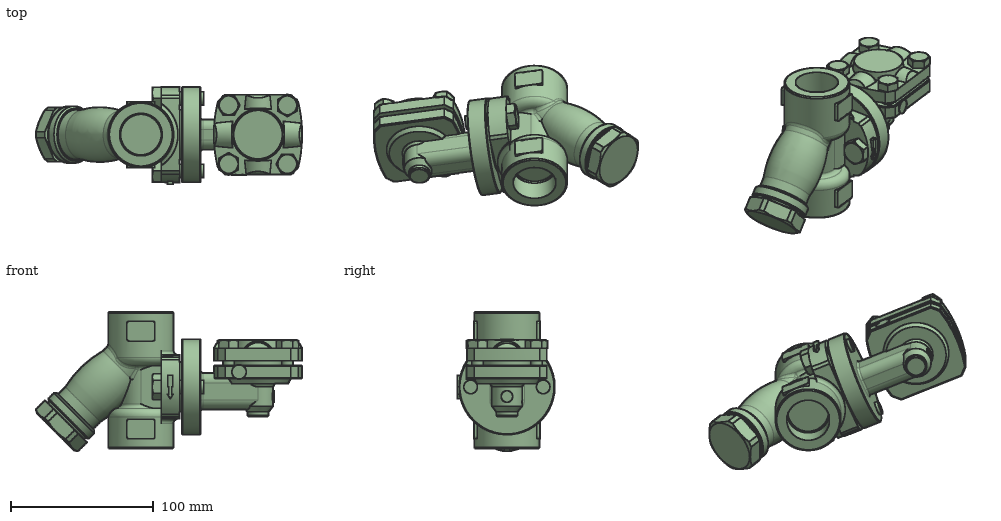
import cadquery as cq
import math


socket_radius = 23.0
socket_top = 52.7
socket_bottom = -43.1
socket_edge_chamfer = 1.0
shoulder_height = 20.7
shoulder_radius = 5.8
neck_fillet = 3.0
neck_radius = socket_radius - shoulder_radius - neck_fillet
bore_radius = 15.0
bore_depth = 15.3
bore_floor_radius = 14.2
bore_cone_depth = 1.1
pad_width = 19.6
pad_height = 13.8
pad_thickness = 3.7
pad_corner_radius = 1.5
pad_face = 23.2
pad_top_gap = 6.7

arm_start_height = 28.4
arm_angle = 45
arm_root_radius = 16.6
arm_fillet = 3.0
arm_bulge_at = 42.0
arm_bulge_radius = 19.2
arm_taper_at = 57.5
arm_taper_radius = 17.4
collar_start = 64.6
collar_end = 72.3
collar_radius = 20.0
collar_chamfer = 1.5
cap_start = 74.2
cap_end = 84.6
cap_flats = 38.1
cap_corner_flats = 41.7
cap_face_radius = 18.5
head_edge_angle = 30
gasket_radius = 36.0 / 2

lug_start = 14.2
lug_end = 27.0
flange_start = 28.8
flange_end = 41.8
flange_radius = 67.0 / 2
flange_chamfer = 0.5
lug_half_height = 22.5
lug_arch_width = 25.4
lug_arch_height = 20.7
lug_side_height = 19.0
lug_side_width = math.sqrt(flange_radius**2 - lug_side_height**2)
lug_fillet = 3.0
raised_face_radius = 35.0 / 2
flange_bolt_radius = 9.5 / 2
flange_bolt_offset = 25.4
flange_bolt_end = 44.0
flange_head_start = 7.8
flange_head_corners = 18.3

arrow_x = 20.5
arrow_top = 8.0
arrow_tip = -8.4
arrow_relief = 1.3

trap_x = 82.0
plate_half_depth = 28.0
plate_half_width = 31.0
plate_corner_near = 23.0
plate_corner_far = 28.2
base_bottom = 5.6
base_top = 15.3
cover_bottom = 18.3
cover_top = 27.0
plate_edge_chamfer = 0.7
trap_top = 32.9
crown_radius = 34.0 / 2
crown_foot_radius = 18.0
rib_radius = 11.2
rib_inner_top = 32.1
rib_outer_top = 30.3
rib_end_slope = 30
spacer_radius = 33.0 / 2
trap_bolt_radius = 8.0 / 2
trap_bolt_offset = 20.5
trap_head_flats = 13.6
head_face_ratio = 0.97
bowl_bottom = 2.2
bowl_top_radius = 23.0
bowl_bottom_radius = 21.1

boss_radius = 10.6
boss_flare = 1.3
boss_flare_bottom = 0
boss_bottom = -13.5
plug_top = -17.5
plug_bottom = -21.0
plug_radius = 7.5
plug_chamfer = 1.0
side_plug_radius = 8.0 / 2
side_plug_height = -6.7
side_plug_relief = 0.5
duct_top = 9.9
duct_bottom = -15.9
duct_half_depth = boss_radius
duct_corner_radius = 7.0
duct_flare = 1.5
name_disc_radius = 10.0 / 2
name_disc_x = trap_x - 13.3
name_disc_relief = 0.5


def turned(outline):
    """Solid of revolution about Z from (radius, height) points."""
    return cq.Workplane("XZ").polyline(outline).close().revolve(360, (0, 0, 0), (0, 1, 0))


def disc_x(radius, x_start, x_end, y=0, z=0):
    """Cylinder along X."""
    return cq.Workplane("YZ", origin=(x_start, y, z)).circle(radius).extrude(x_end - x_start)


def disc_z(radius, z_start, z_end, x=0, y=0):
    """Cylinder along Z."""
    return cq.Workplane("XY", origin=(x, y, z_start)).circle(radius).extrude(z_end - z_start)


def hexagon(flats, height, turn=0):
    """Hexagonal prism on the XY plane; its corners lie on X unless turned."""
    prism = cq.Workplane("XY").polygon(6, flats / math.cos(math.pi / 6)).extrude(height)
    return prism.rotate((0, 0, 0), (0, 0, 1), turn)


def chamfered_top(height, face_radius, slope_angle):
    """Envelope that cuts the corners of a hexagon of this height down to a round face."""
    widening = height / math.tan(math.radians(slope_angle))
    return turned([(0, 0), (face_radius + widening, 0), (face_radius, height), (0, height)])


def bolt_head(flats, height, turn):
    """Hexagonal head standing on the XY plane with a chamfered upper face."""
    face_radius = head_face_ratio * flats / 2
    return hexagon(flats, height, turn).intersect(chamfered_top(height, face_radius, head_edge_angle))


def pipe_column():
    """Two sockets joined by a narrower neck, with rounded shoulders and neck fillets."""
    edge = socket_radius - socket_edge_chamfer
    diagonal = math.sin(math.pi / 4)
    ledge_height = shoulder_height - shoulder_radius
    ledge_radius = socket_radius - shoulder_radius
    shoulder_mid = (ledge_radius + shoulder_radius * diagonal, shoulder_height - shoulder_radius * diagonal)
    fillet_mid = (ledge_radius - neck_fillet * diagonal, ledge_height - neck_fillet * (1 - diagonal))
    neck_end = ledge_height - neck_fillet
    outline = (
        cq.Workplane("XZ")
        .moveTo(0, socket_bottom)
        .lineTo(edge, socket_bottom)
        .lineTo(socket_radius, socket_bottom + socket_edge_chamfer)
        .lineTo(socket_radius, -shoulder_height)
        .threePointArc((shoulder_mid[0], -shoulder_mid[1]), (ledge_radius, -ledge_height))
        .threePointArc((fillet_mid[0], -fillet_mid[1]), (neck_radius, -neck_end))
        .lineTo(neck_radius, neck_end)
        .threePointArc(fillet_mid, (ledge_radius, ledge_height))
        .threePointArc(shoulder_mid, (socket_radius, shoulder_height))
        .lineTo(socket_radius, socket_top - socket_edge_chamfer)
        .lineTo(edge, socket_top)
        .lineTo(0, socket_top)
        .close()
    )
    return outline.revolve(360, (0, 0, 0), (0, 1, 0))


def socket_bores():
    """Blind bores with a short conical floor, one in each socket end."""
    bore = turned([
        (0, 0),
        (bore_radius, 0),
        (bore_radius, -bore_depth),
        (bore_floor_radius, -bore_depth - bore_cone_depth),
        (0, -bore_depth - bore_cone_depth),
    ])
    upper = bore.translate((0, 0, socket_top))
    lower = bore.mirror("XY").translate((0, 0, socket_bottom))
    return upper.union(lower)


def socket_pads(body):
    """Flat rectangular pads on both sides of each socket."""
    half_height = pad_height / 2
    heights = (socket_top - pad_top_gap - half_height, socket_bottom + pad_top_gap + half_height)
    for z in heights:
        for side in (-1, 1):
            pad = (
                cq.Workplane("XY")
                .box(pad_width, pad_thickness, pad_height)
                .edges("|Y")
                .fillet(pad_corner_radius)
                .translate((0, side * (pad_face - pad_thickness / 2), z))
            )
            body = body.union(pad)
    return body


def strainer_arm():
    """Bulged arm with its end collar, hexagonal cap and gasket, turned onto its slope."""
    arm = (
        cq.Workplane("XZ")
        .moveTo(0, 0)
        .lineTo(arm_root_radius, 0)
        .lineTo(arm_root_radius, arm_bulge_at / 2)
        .threePointArc((arm_bulge_radius, arm_bulge_at), (arm_taper_radius, arm_taper_at))
        .lineTo(arm_taper_radius, collar_start)
        .lineTo(collar_radius - collar_chamfer, collar_start)
        .lineTo(collar_radius, collar_start + collar_chamfer)
        .lineTo(collar_radius, collar_end - collar_chamfer / 2)
        .lineTo(collar_radius - collar_chamfer / 2, collar_end)
        .lineTo(gasket_radius, collar_end)
        .lineTo(gasket_radius, cap_start)
        .lineTo(0, cap_start)
        .close()
        .revolve(360, (0, 0, 0), (0, 1, 0))
    )
    cap_height = cap_end - cap_start
    cap = (
        hexagon(cap_flats, cap_height)
        .intersect(hexagon(cap_corner_flats, cap_height, 30))
        .intersect(chamfered_top(cap_height, cap_face_radius, head_edge_angle))
    )
    arm = arm.union(cap.translate((0, 0, cap_start)))
    return arm.rotate((0, 0, 0), (0, 1, 0), 180 + arm_angle).translate((0, 0, arm_start_height))


def lug():
    """Mounting flange with round sides and arched edges, bridged to the neck."""
    outline = (
        cq.Workplane("YZ", origin=(lug_start, 0, 0))
        .moveTo(-lug_side_width, -lug_side_height)
        .lineTo(-lug_arch_width, -lug_arch_height)
        .threePointArc((0, -lug_half_height), (lug_arch_width, -lug_arch_height))
        .lineTo(lug_side_width, -lug_side_height)
        .threePointArc((flange_radius, 0), (lug_side_width, lug_side_height))
        .lineTo(lug_arch_width, lug_arch_height)
        .threePointArc((0, lug_half_height), (-lug_arch_width, lug_arch_height))
        .lineTo(-lug_side_width, lug_side_height)
        .threePointArc((-flange_radius, 0), (-lug_side_width, -lug_side_height))
        .close()
    )
    bridge_height = 2 * (shoulder_height - shoulder_radius)
    bridge = cq.Workplane("XY").box(lug_end, 2 * neck_radius, bridge_height).translate((lug_end / 2, 0, 0))
    return outline.extrude(lug_end - lug_start).union(bridge)


def lug_blends():
    """Concave rings that blend the sockets into the arched edges of the lug."""
    ring_radius = socket_radius + lug_fillet
    middle = lug_fillet * (1 - math.sin(math.pi / 4))
    ring = (
        cq.Workplane("XZ")
        .moveTo(neck_radius, lug_side_height - lug_half_height)
        .lineTo(ring_radius, lug_side_height - lug_half_height)
        .lineTo(ring_radius, 0)
        .threePointArc((socket_radius + middle, middle), (socket_radius, lug_fillet))
        .lineTo(neck_radius, lug_fillet)
        .close()
        .revolve(360, (0, 0, 0), (0, 1, 0))
        .translate((0, 0, lug_half_height))
    )
    ring = ring.union(ring.mirror("XY"))
    limit = cq.Workplane("XY").box(
        lug_end - lug_start, 2 * flange_radius, 2 * socket_top
    ).translate(((lug_start + lug_end) / 2, 0, 0))
    return ring.intersect(limit)


def flow_arrow():
    """Raised arrow pointing down on the side of the lug."""
    shaft = 1.0
    tail = 1.9
    barb = 2.0
    tail_bottom = 0
    head_top = -5.0
    half = [(tail, arrow_top), (tail, tail_bottom), (shaft, tail_bottom), (shaft, head_top), (barb, head_top)]
    outline = half + [(0, arrow_tip)] + [(-x, z) for x, z in reversed(half)]
    depth = 3.7
    face = flange_radius + arrow_relief
    arrow = cq.Workplane("XZ").polyline(outline).close().extrude(depth)
    return arrow.translate((arrow_x, -face + depth, 0))


def flange_bolt(y):
    """Bolt along X through both flanges, its head against the lug."""
    head_height = lug_start - flange_head_start
    head = (
        bolt_head(flange_head_corners * math.cos(math.pi / 6), head_height, 0)
        .rotate((0, 0, 0), (0, 1, 0), -90)
        .translate((lug_start, y, 0))
    )
    return head.union(disc_x(flange_bolt_radius, lug_start, flange_bolt_end, y))


def make_valve_body():
    """Pipe column, strainer arm, lug and flange bolts as one solid."""
    body = pipe_column().union(strainer_arm())
    arm_seam = cq.selectors.BoxSelector(
        (-socket_radius, -socket_radius, shoulder_height),
        (shoulder_radius - socket_radius, socket_radius, arm_start_height + arm_root_radius),
    )
    body = body.edges(arm_seam).fillet(arm_fillet)
    body = body.union(lug()).union(lug_blends())
    body = socket_pads(body).union(flow_arrow())
    for side in (-1, 1):
        body = body.union(flange_bolt(side * flange_bolt_offset))
    return body.cut(socket_bores())


def trap_plate(z_bottom, z_top, taper=0):
    """Square plate with cut corners and two bowed sides, centred on the trap axis."""
    return (
        cq.Workplane("XY", origin=(trap_x, 0, z_bottom))
        .moveTo(-plate_corner_near, plate_half_depth)
        .lineTo(plate_corner_near, plate_half_depth)
        .lineTo(plate_corner_far, plate_corner_near)
        .threePointArc((plate_half_width, 0), (plate_corner_far, -plate_corner_near))
        .lineTo(plate_corner_near, -plate_half_depth)
        .lineTo(-plate_corner_near, -plate_half_depth)
        .lineTo(-plate_corner_far, -plate_corner_near)
        .threePointArc((-plate_half_width, 0), (-plate_corner_far, plate_corner_near))
        .close()
        .extrude(z_top - z_bottom, taper=taper)
    )


def cover_ribs():
    """Four rounded ridges that fall from the crown to the middle of each cover side."""
    run = plate_half_width - crown_radius
    slope = math.degrees(math.atan((rib_inner_top - rib_outer_top) / run))
    axis_height = rib_inner_top - rib_radius
    bars = cq.Workplane("XY")
    for turn in range(0, 360, 90):
        bar = (
            disc_x(rib_radius, 0, 2 * plate_half_width)
            .rotate((0, 0, 0), (0, 1, 0), slope)
            .translate((crown_radius, 0, axis_height))
            .rotate((0, 0, 0), (0, 0, 1), turn)
            .translate((trap_x, 0, 0))
        )
        bars = bars.union(bar)
    return bars.intersect(trap_plate(cover_top, trap_top, rib_end_slope))


def trap_cover():
    """Upper plate with its crown and ribs."""
    plate = trap_plate(cover_bottom, cover_top)
    crown = turned([
        (0, cover_bottom),
        (crown_foot_radius, cover_bottom),
        (crown_foot_radius, cover_top),
        (crown_radius, trap_top),
        (0, trap_top),
    ]).translate((trap_x, 0, 0))
    return plate.union(cover_ribs()).union(crown)


def trap_base():
    """Lower plate, the shallow bowl under it, the outlet boss and its plugs."""
    plate = trap_plate(base_bottom, base_top).faces("<Z or >Z").edges().chamfer(plate_edge_chamfer)
    below = turned([
        (0, base_bottom),
        (bowl_top_radius, base_bottom),
        (bowl_bottom_radius, bowl_bottom),
        (boss_radius + boss_flare, bowl_bottom),
        (boss_radius, boss_flare_bottom),
        (boss_radius, boss_bottom),
        (plug_radius, plug_top),
        (plug_radius, plug_bottom + plug_chamfer),
        (plug_radius - plug_chamfer, plug_bottom),
        (0, plug_bottom),
    ]).translate((trap_x, 0, 0))
    side_plug_end = trap_x + boss_radius + side_plug_relief
    side_plug = disc_x(side_plug_radius, trap_x, side_plug_end, 0, side_plug_height)
    disc_face = -plate_half_depth - name_disc_relief
    name_disc = (
        cq.Workplane("XZ", origin=(name_disc_x, disc_face, (base_bottom + base_top) / 2))
        .circle(name_disc_radius)
        .extrude(-2 * name_disc_relief)
    )
    return plate.union(below).union(side_plug).union(name_disc)


def trap_bolts():
    """Four bolts that clamp the cover, with alternating head positions."""
    bolts = cq.Workplane("XY")
    for x_side in (-1, 1):
        for y_side in (-1, 1):
            x = trap_x + x_side * trap_bolt_offset
            y = y_side * trap_bolt_offset
            turn = 90 if x_side == y_side else 0
            head = bolt_head(trap_head_flats, trap_top - cover_top, turn).translate((x, y, cover_top))
            bolts = bolts.union(disc_z(trap_bolt_radius, base_bottom, cover_top, x, y).union(head))
    return bolts


def duct():
    """Rounded rectangular duct between the flange and the trap."""
    height = duct_top - duct_bottom
    middle = (duct_top + duct_bottom) / 2
    return (
        cq.Workplane("YZ", origin=(flange_end, 0, middle))
        .rect(2 * duct_half_depth, height)
        .extrude(trap_x - flange_end)
        .edges("|X")
        .fillet(duct_corner_radius)
    )


def trap_flange():
    """Round flange with its raised face and bolt holes, joined to the duct."""
    disc = disc_x(flange_radius, flange_start, flange_end).edges().chamfer(flange_chamfer)
    flange = disc.union(disc_x(raised_face_radius, lug_end, flange_start)).union(duct())
    margin = 0.2
    flange = flange.edges(
        cq.selectors.BoxSelector(
            (flange_end - margin, -duct_half_depth - margin, duct_bottom - margin),
            (flange_end + margin, duct_half_depth + margin, duct_top + margin),
            boundingbox=True,
        )
    ).fillet(duct_flare)
    for side in (-1, 1):
        flange = flange.cut(
            disc_x(flange_bolt_radius, flange_start, flange_end, side * flange_bolt_offset)
        )
    return flange


def make_trap_unit():
    """Trap base, cover, clamping bolts, duct and round flange as one solid."""
    trap = trap_base().union(disc_z(spacer_radius, base_bottom, cover_bottom, trap_x))
    return trap.union(trap_cover()).union(trap_bolts()).union(trap_flange())


valve_body = make_valve_body()
trap_unit = make_trap_unit()

result = cq.Compound.makeCompound([valve_body.solids().val(), trap_unit.solids().val()])